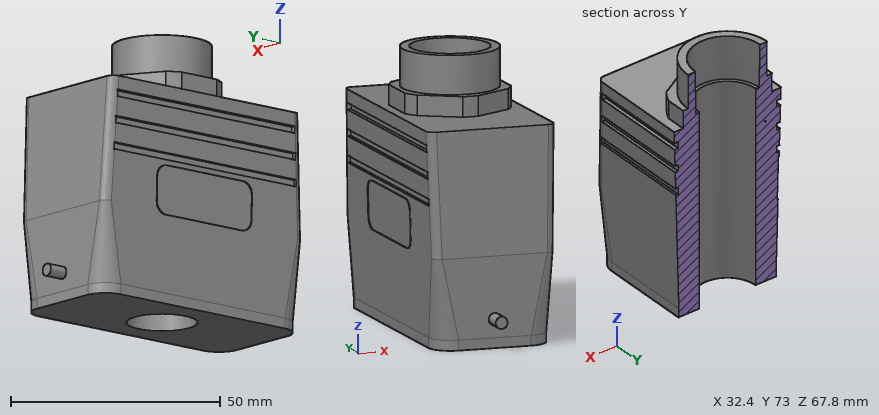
import cadquery as cq

TOTAL_HEIGHT = 67.8
BAND_HEIGHT = 2.6
BREAK_HEIGHT = 22.5
HEX_HEIGHT = 5.0
COLLAR_HEIGHT = 9.6
HOOD_HEIGHT = TOTAL_HEIGHT - COLLAR_HEIGHT - HEX_HEIGHT

TOP_WIDTH = 32.4
BASE_WIDTH = 29.6
TOP_LENGTH = 59.7
BREAK_LENGTH = 63.0
BASE_LENGTH = 63.2
SIDE_SLOPE = (TOP_WIDTH - BASE_WIDTH) / 2 / (HOOD_HEIGHT - BAND_HEIGHT)
BREAK_WIDTH = BASE_WIDTH + 2 * SIDE_SLOPE * (BREAK_HEIGHT - BAND_HEIGHT)
END_SLOPE = (BREAK_LENGTH - TOP_LENGTH) / 2 / (HOOD_HEIGHT - BREAK_HEIGHT)
UPPER_CORNER_RADIUS = 2.0
BASE_CORNER_RADIUS = 5.6

HEX_ACROSS_FLATS = 27.0
HEX_CORNER_DIAMETER = 29.2
COLLAR_DIAMETER = 24.0
MOUTH_DIAMETER = 19.5
SEAT_DIAMETER = 18.92
SEAT_DEPTH = 12.0
THROUGH_DIAMETER = 17.0

PIN_DIAMETER = 3.0
PIN_HEIGHT = 7.1
PIN_SPAN = 73.0
PIN_EMBEDMENT = 1.5

GROOVE_COUNT = 3
GROOVE_WIDTH = 1.7
GROOVE_PITCH = 6.5
TOP_GROOVE_LEDGE = 48.15
GROOVE_WALL_OFFSET = 15.0

PLATE_LENGTH = 30.0
PLATE_HEIGHT = 12.1
PLATE_CORNER_RADIUS = 3.0
PLATE_CENTER_HEIGHT = 27.8
PLATE_DEPTH = 0.2


def side_half_width(z):
    """Distance from the centre plane to the sloping long side at height z."""
    return BASE_WIDTH / 2 + SIDE_SLOPE * (z - BAND_HEIGHT)


def flat_length(z):
    """Length of the flat part of a long side at height z above the break."""
    length = TOP_LENGTH + 2 * END_SLOPE * (HOOD_HEIGHT - z)
    return length - 2 * UPPER_CORNER_RADIUS


def section(width, length, radius, z):
    """Rounded rectangle at height z."""
    outline = cq.Sketch().rect(width, length).vertices().fillet(radius)
    return outline.moved(cq.Location(cq.Vector(0, 0, z)))


def loft_between(lower, upper):
    return cq.Workplane("XY").placeSketch(lower, upper).loft(ruled=True)


def make_hood():
    bottom = section(BASE_WIDTH, BASE_LENGTH, BASE_CORNER_RADIUS, 0)
    band_top = section(BASE_WIDTH, BASE_LENGTH, BASE_CORNER_RADIUS, BAND_HEIGHT)
    at_break = section(BREAK_WIDTH, BREAK_LENGTH, UPPER_CORNER_RADIUS, BREAK_HEIGHT)
    top = section(TOP_WIDTH, TOP_LENGTH, UPPER_CORNER_RADIUS, HOOD_HEIGHT)
    band = loft_between(bottom, band_top)
    lower = loft_between(band_top, at_break)
    upper = loft_between(at_break, top)
    return band.union(lower).union(upper)


def make_entry():
    """Hexagon with rounded corners carrying the round collar."""
    seat = cq.Plane(origin=(0, 0, HOOD_HEIGHT))
    hexagon = cq.Workplane(seat).polygon(6, HEX_ACROSS_FLATS, circumscribed=True).extrude(HEX_HEIGHT)
    corner_limit = cq.Workplane(seat).circle(HEX_CORNER_DIAMETER / 2).extrude(HEX_HEIGHT)
    nut = hexagon.intersect(corner_limit)
    collar = cq.Workplane(seat).circle(COLLAR_DIAMETER / 2).extrude(HEX_HEIGHT + COLLAR_HEIGHT)
    return nut.union(collar)


def make_bore():
    """Slightly tapered socket with a flat seat, then a plain through hole."""
    seat = cq.Workplane("XY").workplane(offset=TOTAL_HEIGHT - SEAT_DEPTH).circle(SEAT_DIAMETER / 2)
    socket = seat.workplane(offset=SEAT_DEPTH).circle(MOUTH_DIAMETER / 2).loft()
    through = cq.Workplane("XY").circle(THROUGH_DIAMETER / 2).extrude(TOTAL_HEIGHT)
    return socket.union(through)


def make_pin(side):
    """Pin standing out of the end wall on the given side (+1 or -1) along Y."""
    root = cq.Vector(0, side * (BASE_LENGTH / 2 - PIN_EMBEDMENT), PIN_HEIGHT)
    length = PIN_SPAN / 2 - abs(root.y)
    pin = cq.Solid.makeCylinder(PIN_DIAMETER / 2, length, root, cq.Vector(0, side, 0))
    return cq.Workplane(obj=pin)


def make_groove(side, z_ledge):
    """Groove cutter with a vertical inner wall, ending at the rounded corners."""
    length = flat_length(z_ledge + GROOVE_WIDTH / 2)
    depth = TOP_WIDTH / 2 - GROOVE_WALL_OFFSET
    cutter = cq.Workplane("XY").box(depth, length, GROOVE_WIDTH)
    x_center = side * (GROOVE_WALL_OFFSET + depth / 2)
    return cutter.translate((x_center, 0, z_ledge + GROOVE_WIDTH / 2))


def make_plate_recess():
    """Rounded slab lying in the slope of the -X side."""
    center = (-side_half_width(PLATE_CENTER_HEIGHT), 0, PLATE_CENTER_HEIGHT)
    face = cq.Plane(origin=center, xDir=(0, -1, 0), normal=(-1, 0, -SIDE_SLOPE))
    slab = cq.Workplane(face).rect(PLATE_LENGTH, PLATE_HEIGHT).extrude(PLATE_DEPTH, both=True)
    corner_edges = cq.selectors.ParallelDirSelector(face.zDir)
    return slab.edges(corner_edges).fillet(PLATE_CORNER_RADIUS)


result = make_hood().union(make_entry()).cut(make_bore())

for side in (-1, 1):
    result = result.union(make_pin(side))
    for index in range(GROOVE_COUNT):
        result = result.cut(make_groove(side, TOP_GROOVE_LEDGE - index * GROOVE_PITCH))

result = result.cut(make_plate_recess())